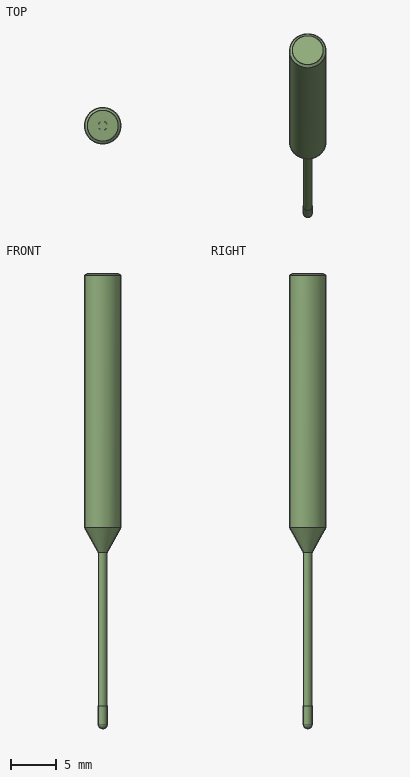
import cadquery as cq
import math

total_length = 50.0
shank_radius = 2.0
chamfer_width = 0.3
chamfer_height = 0.2

tip_radius = 0.5
tip_length = 2.5

neck_radius = 0.475
cone_base_z = 22.1
neck_top_z = 19.35


def make_cutting_tip():
    """Short cylinder with a hemispherical end, revolved about Z."""
    arc_offset = tip_radius * math.sqrt(0.5)
    return (
        cq.Workplane("XZ")
        .moveTo(0, 0)
        .threePointArc((arc_offset, tip_radius - arc_offset), (tip_radius, tip_radius))
        .lineTo(tip_radius, tip_length)
        .lineTo(0, tip_length)
        .close()
        .revolve(360, (0, 0, 0), (0, 1, 0))
    )


def make_shank():
    """Neck, cone and chamfered shank in one piece, revolved about Z."""
    return (
        cq.Workplane("XZ")
        .moveTo(0, tip_length)
        .lineTo(neck_radius, tip_length)
        .lineTo(neck_radius, neck_top_z)
        .lineTo(shank_radius, cone_base_z)
        .lineTo(shank_radius, total_length - chamfer_height)
        .lineTo(shank_radius - chamfer_width, total_length)
        .lineTo(0, total_length)
        .close()
        .revolve(360, (0, 0, 0), (0, 1, 0))
    )


cutting_tip = make_cutting_tip()
shank = make_shank()

result = cq.Compound.makeCompound([cutting_tip.val(), shank.val()])